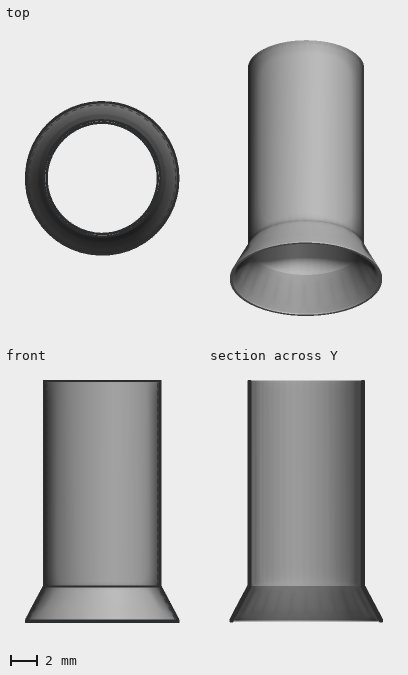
import cadquery as cq

total_height = 18.0
tube_outer_diameter = 8.7
wall_thickness = 0.2
flare_outer_diameter = 11.4
flare_height = 2.65
rim_height = 0.1

tube_outer_radius = tube_outer_diameter / 2
tube_inner_radius = tube_outer_radius - wall_thickness
flare_outer_radius = flare_outer_diameter / 2
flare_inner_radius = flare_outer_radius - wall_thickness


def flared_sleeve():
    """Revolve the wall section, in radius and height, about the Z axis."""
    wall_section = [
        (flare_inner_radius, 0),
        (flare_outer_radius, 0),
        (flare_outer_radius, rim_height),
        (tube_outer_radius, flare_height),
        (tube_outer_radius, total_height),
        (tube_inner_radius, total_height),
        (tube_inner_radius, flare_height),
        (flare_inner_radius, rim_height),
    ]
    return cq.Workplane("XZ").polyline(wall_section).close().revolve(360, (0, 0, 0), (0, 1, 0))


result = flared_sleeve()